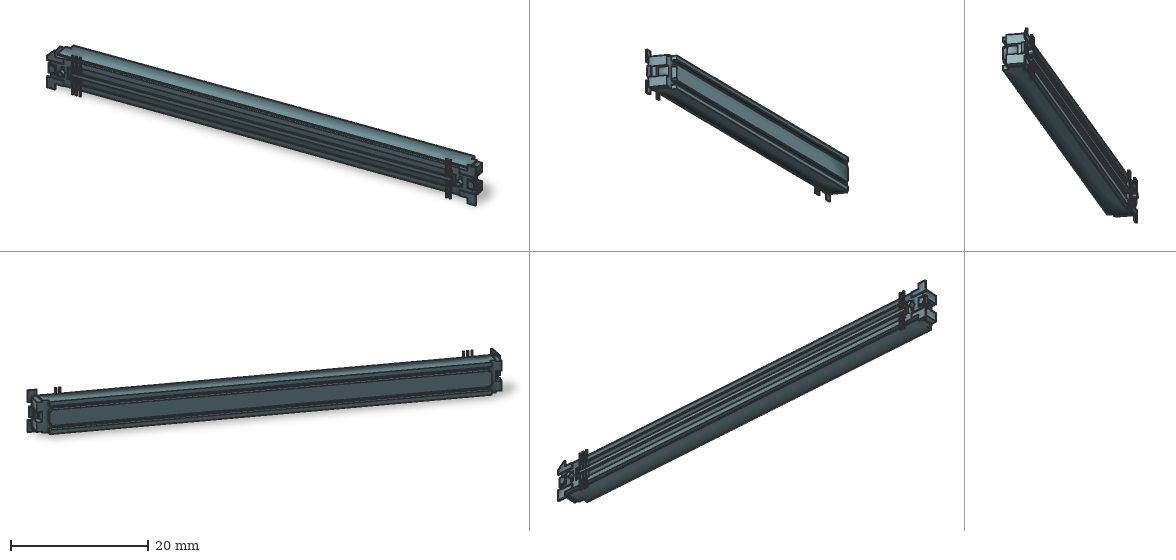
import cadquery as cq

LENGTH = 71.4
HEIGHT = 3.9
TAIL_SPAN = 6.4

STANDOFF = 0.15
BASE_LENGTH = 70.2
BASE_WIDTH = 4.6
CORE_LENGTH = 68.5
WALL_WIDTH = 5.0
WALL_FOOT = 0.65
CROWN_LENGTH = 66.8
CROWN_HEIGHT = 0.85
CHANNEL_OUTER = 3.7
TONGUE_WIDTH = 2.4
TONGUE_CHAMFER = 0.35

NOTCH_WIDTH = 1.6
CLIP_LENGTH = 71.15
CLIP_HEIGHT = 0.65
CLIP_PAD_LENGTH = 70.8
CLIP_PAD_WIDTH = 1.3
CLIP_PAD_INNER_LENGTH = 68.8
CLIP_PAD_CHAMFER = 0.3
SADDLE_LENGTH = 69.95
SADDLE_HEIGHT = 1.35

TROUGH_DEPTH = 0.3
TROUGH_LENGTH = 63.3
TROUGH_WIDTH = 2.85
SPINE_WIDTH = 0.65
SPINE_FOOT = 0.1
END_POCKET_LENGTH = 64.65
END_POCKET_WIDTH = 1.9

SHEET = 0.2
CONTACT_PITCH = 0.635
CONTACTS_PER_ROW = 100
CONTACT_WIDTH = 0.2
LEFT_CONTACTS = 3
RIGHT_CONTACTS = 2
TAB_FOOT_LENGTH = 1.35
TAB_LENGTH = 2.7
TAB_INNER_SPAN = 2.8
KEY_CHAMFER = 1.15

PEG_SPACING = 66.2
PEG_DIAMETER = 0.8
PEG_LENGTH = 0.65
RELIEF_LENGTH = 0.4
RELIEF_WIDTH = 1.65
RELIEF_DEPTH = 0.1


def block(x_range, y_range, z_range):
    """Box given by its limits along each axis."""
    sizes = [high - low for low, high in (x_range, y_range, z_range)]
    corner = (x_range[0], y_range[0], z_range[0])
    return cq.Workplane("XY").box(*sizes, centered=False).translate(corner)


def centred(length, y_range, width):
    """Box centred on X and Z."""
    return block((-length / 2, length / 2), y_range, (-width / 2, width / 2))


def mirrored_in_z(shape):
    return shape.union(shape.mirror("XY"))


def make_housing():
    post_top = HEIGHT - CROWN_HEIGHT
    base = centred(BASE_LENGTH, (STANDOFF, post_top), BASE_WIDTH)
    notch = centred(BASE_LENGTH, (STANDOFF, post_top), NOTCH_WIDTH)
    notch = notch.cut(centred(CORE_LENGTH, (STANDOFF, post_top), NOTCH_WIDTH))
    walls = centred(CORE_LENGTH, (WALL_FOOT, post_top), WALL_WIDTH)
    crown_y = (post_top, HEIGHT)
    crown = centred(CROWN_LENGTH, crown_y, WALL_WIDTH)
    crown = crown.cut(centred(CROWN_LENGTH, crown_y, CHANNEL_OUTER))
    tongue = centred(CROWN_LENGTH, crown_y, TONGUE_WIDTH).edges("|Y").chamfer(TONGUE_CHAMFER)
    return base.cut(notch).union(walls).union(crown).union(tongue)


def make_underside_recesses():
    trough_y = (STANDOFF, STANDOFF + TROUGH_DEPTH)
    trough = centred(TROUGH_LENGTH, trough_y, TROUGH_WIDTH)
    pockets = centred(END_POCKET_LENGTH, trough_y, END_POCKET_WIDTH)
    return trough.union(pockets)


def make_spine():
    return centred(TROUGH_LENGTH, (SPINE_FOOT, STANDOFF + TROUGH_DEPTH), SPINE_WIDTH)


def make_peg_reliefs():
    relief = centred(RELIEF_LENGTH, (STANDOFF, STANDOFF + RELIEF_DEPTH), RELIEF_WIDTH)
    left = relief.translate((-PEG_SPACING / 2, 0, 0))
    return left.union(left.mirror("YZ"))


def make_contacts():
    inner = SPINE_WIDTH / 2
    first_x = -CONTACT_PITCH * (CONTACTS_PER_ROW - 1) / 2
    left = [first_x + i * CONTACT_PITCH for i in range(LEFT_CONTACTS)]
    right = [-first_x - i * CONTACT_PITCH for i in range(RIGHT_CONTACTS)]
    contacts = cq.Workplane("XY")
    for x in left + right:
        x_range = (x - CONTACT_WIDTH / 2, x + CONTACT_WIDTH / 2)
        strip = block(x_range, (0, STANDOFF + TROUGH_DEPTH), (inner, BASE_WIDTH / 2))
        tail = block(x_range, (0, SHEET), (inner, TAIL_SPAN / 2))
        contacts = contacts.union(mirrored_in_z(strip.union(tail)))
    return contacts


def make_solder_tabs():
    end = LENGTH / 2
    inner = TAB_INNER_SPAN / 2
    foot = block((-end, TAB_FOOT_LENGTH - end), (0, SHEET), (inner, TAIL_SPAN / 2))
    arm = block((-end, TAB_LENGTH - end), (0, SHEET), (inner, BASE_WIDTH / 2))
    tab = foot.union(arm)
    left = tab.edges("|Y and <X and >Z").chamfer(KEY_CHAMFER).union(tab.mirror("XY"))
    return left.union(mirrored_in_z(tab.mirror("YZ")))


def make_end_clips():
    clips = centred(CLIP_LENGTH, (SHEET, CLIP_HEIGHT), NOTCH_WIDTH)
    saddles = centred(SADDLE_LENGTH, (SHEET, SADDLE_HEIGHT), NOTCH_WIDTH)
    clips = clips.union(saddles).cut(centred(CORE_LENGTH, (0, HEIGHT), NOTCH_WIDTH))
    pad_end = CLIP_PAD_LENGTH / 2
    pad_x = (-pad_end, -CLIP_PAD_INNER_LENGTH / 2)
    pad = block(pad_x, (0, SHEET), (-CLIP_PAD_WIDTH / 2, CLIP_PAD_WIDTH / 2))
    pad = pad.edges("|Y").chamfer(CLIP_PAD_CHAMFER)
    return clips.union(pad).union(pad.mirror("YZ"))


def make_pegs():
    centres = [(-PEG_SPACING / 2, 0), (PEG_SPACING / 2, 0)]
    pegs = cq.Workplane("XZ", origin=(0, STANDOFF + RELIEF_DEPTH, 0)).pushPoints(centres)
    return pegs.circle(PEG_DIAMETER / 2).extrude(STANDOFF + RELIEF_DEPTH + PEG_LENGTH)


result = make_housing().cut(make_underside_recesses()).cut(make_peg_reliefs())
features = [make_spine(), make_contacts(), make_solder_tabs(), make_end_clips(), make_pegs()]
for feature in features:
    result = result.union(feature)